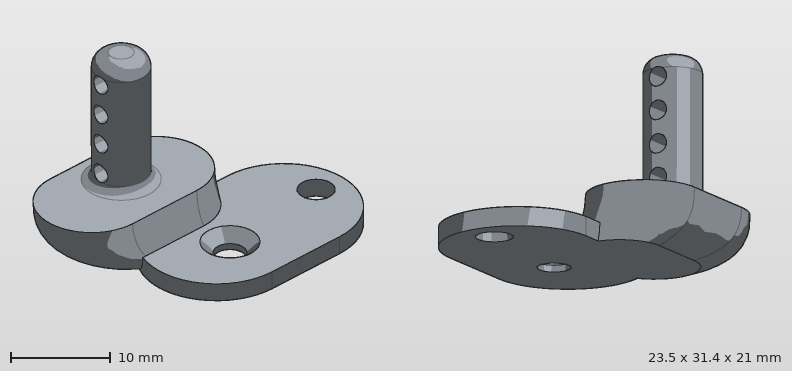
import cadquery as cq
import math

plate_width = 16.0
plate_length = 25.38
plate_thickness = 2.0
plate_left = 7.45
plate_front = 6.03
plate_x = plate_left + plate_width / 2

plain_hole_diameter = 3.8
plain_hole_y = 27.92
screw_x = 16.45
screw_y = 14.92
screw_hole_diameter = 3.4
countersink_diameter = 6.0
countersink_angle = 90

pad_width = 11.78
pad_length = 20.73
pad_height = 6.0
pad_levels = 6
left_inset = 3.15
front_inset = 5.18
back_inset = -0.38
left_bend = 2.5
front_bend = 3.4
back_bend = 5
right_bulge = 0.8
right_bulge_depth = 0.8

pin_x = 4.95
pin_y = 10.9
pin_diameter = 6.0
pin_top = 21.0
pin_tip_radius = 1.7
pin_root_radius = 1.0
pin_hole_diameter = 2.0
pin_hole_count = 4
pin_hole_spacing = 3.5
pin_hole_first_z = 7.98


def make_plate():
    plate = (
        cq.Workplane("XY")
        .center(plate_x, plate_front + plate_length / 2)
        .slot2D(plate_length, plate_width, 90)
        .extrude(plate_thickness)
    )
    plate = (
        plate.faces(">Z").workplane(origin=(plate_x, plain_hole_y, 0))
        .hole(plain_hole_diameter)
    )
    return (
        plate.faces(">Z").workplane(origin=(screw_x, screw_y, 0))
        .cskHole(screw_hole_diameter, countersink_diameter, countersink_angle)
    )


def pad_section(depth):
    """Round-ended outline at a depth from 0 (top face) to 1 (base)."""
    left = left_inset * depth**left_bend
    right = pad_width + right_bulge * math.sin(math.pi / 2 * depth / right_bulge_depth) ** 2
    front = front_inset * depth**front_bend
    back = pad_length - back_inset * depth**back_bend
    radius = (right - left) / 2
    middle = (left + right) / 2
    outline = (
        cq.Workplane("XY", origin=(0, 0, pad_height * (1 - depth)))
        .moveTo(left, front + radius)
        .threePointArc((middle, front), (right, front + radius))
        .lineTo(right, back - radius)
        .threePointArc((middle, back), (left, back - radius))
        .close()
    )
    return outline.val()


def make_pad():
    sections = [pad_section(1 - level / pad_levels) for level in range(pad_levels + 1)]
    return cq.Workplane(cq.Solid.makeLoft(sections))


def make_pin():
    radius = pin_diameter / 2
    root_edge = radius + pin_root_radius
    root_top = pad_height + pin_root_radius
    profile = (
        cq.Workplane("XZ", origin=(pin_x, pin_y, 0))
        .moveTo(0, pad_height / 2)
        .lineTo(radius, pad_height / 2)
        .lineTo(radius, pad_height)
        .lineTo(root_edge, pad_height)
        .radiusArc((radius, root_top), pin_root_radius)
        .lineTo(radius, pin_top - pin_tip_radius)
        .radiusArc((radius - pin_tip_radius, pin_top), -pin_tip_radius)
        .lineTo(0, pin_top)
        .close()
    )
    return profile.revolve(360, (0, 0, 0), (0, 1, 0))


def make_pin_holes():
    centers = [(pin_x, pin_hole_first_z + i * pin_hole_spacing) for i in range(pin_hole_count)]
    return (
        cq.Workplane("XZ", origin=(0, pin_y, 0))
        .pushPoints(centers)
        .circle(pin_hole_diameter / 2)
        .extrude(pin_diameter, both=True)
    )


result = make_plate().union(make_pad()).union(make_pin()).cut(make_pin_holes())